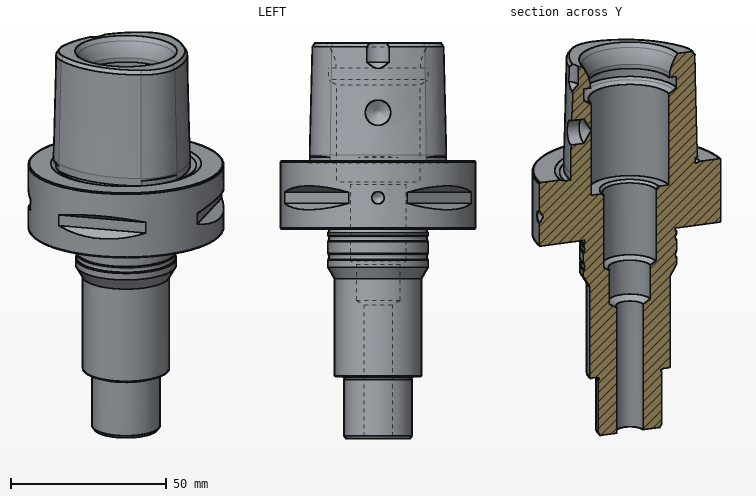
import cadquery as cq
import math

TOTAL_HEIGHT = 127.5
FLANGE_BOTTOM = 67.6
FLANGE_TOP = 89.5
TAPER_START = 91.5

TIP_RADIUS = 22.0 / 2
TIP_CHAMFER = 0.8
TIP_CHAMFER_HEIGHT = 1.0
SHANK_RADIUS = 28 / 2
SHANK_BOTTOM = 20.0
SHANK_CHAMFER = 0.4
TIP_RELIEF_INSET = 0.3
TIP_RELIEF_BOTTOM = 19.0
TIP_RELIEF_TOP = 19.6
TIP_SHOULDER_RADIUS = 11.5
COLLAR_RADIUS = 32.5 / 2
COLLAR_NECK_RADIUS = 32.0 / 2
COLLAR_CONE_BOTTOM = 51.5
COLLAR_CONE_TOP = 55.3
COLLAR_TOP = 66.4
FLANGE_NECK_RADIUS = 15.7
RING_GROOVE_RADIUS = 15.8
RING_GROOVE_STEP = 0.4
RING_GROOVES = [(57.5, 59.8), (63.5, 65.7)]

FLANGE_RADIUS = 63.0 / 2
FLANGE_CHAMFER = 0.4
GRIP_SLOT_Z = 77.6
GRIP_SLOT_FLOOR_DISTANCE = 27.9
GRIP_SLOT_FLOOR_WIDTH = 3.6
GRIP_SLOT_WALL_ANGLE = math.radians(30)
MARK_RADIUS = 4.0 / 2
MARK_WALL = 0.3

RELIEF_OUTER_RADIUS = 24.2
RELIEF_INNER_RADIUS = 22.7
RELIEF_DEPTH = 0.5
RELIEF_WALL_TOP = 90.7

LOBE_CENTRE_DISTANCE = 10.2
LOBE_HALF_ANGLE = 30
LOBE_RADIUS_OFFSET = LOBE_CENTRE_DISTANCE * math.cos(math.radians(LOBE_HALF_ANGLE))
TAPER_HALF_WIDTH = 22.0
TAPER_RATIO = 1 / 40
TAPER_CHAMFER = 0.9
TAPER_CHAMFER_HEIGHT = 1.3
CROSS_HOLE_RADIUS = 8.2 / 2
CROSS_HOLE_Z = 105.0
CROSS_HOLE_WALL = 4.7
NOTCH_RADIUS = 9.0 / 2
NOTCH_AXIS_X = -22.5
NOTCH_BOTTOM = 121.4

MOUTH_RADIUS = 16.5
MOUTH_CHAMFER = 0.9
MOUTH_CHAMFER_HEIGHT = 1.4
LIP_RADIUS = 13.6
LIP_TOP = 121.0
LIP_BOTTOM = 119.5
FLARE_BULGE = 0.3
BORE_GROOVE_RADIUS = 32.0 / 2
BORE_GROOVE_FILLET = 0.8
BORE_GROOVE_BOTTOM = 115.1
LOWER_BORE_RADIUS = 13.4
LOWER_BORE_TOP = 114.1
BORE_FLOOR = 82.9
THREAD_MOUTH_RADIUS = 9.8
THREAD_RADIUS = 17.8 / 2
THREAD_BOTTOM = 57.4
PILOT_RADIUS = 14 / 2
PILOT_BOTTOM = 44.6
COOLANT_RADIUS = 9.0 / 2
DRILL_POINT_SLOPE = math.tan(math.radians(31))


def revolved(points):
    """Solid of revolution about Z from (radius, height) points."""
    return cq.Workplane("XZ").polyline(points).close().revolve(360, (0, 0, 0), (0, 1, 0))


def lobed_wire(half_width, z):
    """Tangent-arc trilobe with one lobe on +X; half_width is half its constant width."""
    lobe_radius = half_width - LOBE_RADIUS_OFFSET
    flank_radius = half_width + LOBE_RADIUS_OFFSET

    def lobe_point(lobe_angle, normal_angle):
        lobe = math.radians(lobe_angle)
        normal = math.radians(normal_angle)
        return cq.Vector(
            LOBE_CENTRE_DISTANCE * math.cos(lobe) + lobe_radius * math.cos(normal),
            LOBE_CENTRE_DISTANCE * math.sin(lobe) + lobe_radius * math.sin(normal),
            z,
        )

    flank_distance = flank_radius - LOBE_CENTRE_DISTANCE
    edges = []
    for lobe_angle in (0, 120, 240):
        start = lobe_point(lobe_angle, lobe_angle - LOBE_HALF_ANGLE)
        crest = lobe_point(lobe_angle, lobe_angle)
        end = lobe_point(lobe_angle, lobe_angle + LOBE_HALF_ANGLE)
        flank_angle = math.radians(lobe_angle + 60)
        flank_middle = cq.Vector(
            flank_distance * math.cos(flank_angle), flank_distance * math.sin(flank_angle), z
        )
        next_start = lobe_point(lobe_angle + 120, lobe_angle + 120 - LOBE_HALF_ANGLE)
        edges.append(cq.Edge.makeThreePointArc(start, crest, end))
        edges.append(cq.Edge.makeThreePointArc(end, flank_middle, next_start))
    return cq.Wire.assembleEdges(edges)


def lobed_frustum(bottom_half_width, bottom, top_half_width, top):
    wires = [lobed_wire(bottom_half_width, bottom), lobed_wire(top_half_width, top)]
    return cq.Workplane(cq.Solid.makeLoft(wires, True))


def make_shank():
    shank = revolved([
        (0, 0),
        (TIP_RADIUS - TIP_CHAMFER, 0),
        (TIP_RADIUS, TIP_CHAMFER_HEIGHT),
        (TIP_RADIUS, TIP_RELIEF_BOTTOM),
        (TIP_RADIUS - TIP_RELIEF_INSET, TIP_RELIEF_TOP),
        (TIP_SHOULDER_RADIUS, SHANK_BOTTOM),
        (SHANK_RADIUS - SHANK_CHAMFER, SHANK_BOTTOM),
        (SHANK_RADIUS, SHANK_BOTTOM + SHANK_CHAMFER),
        (SHANK_RADIUS, COLLAR_CONE_BOTTOM),
        (COLLAR_RADIUS, COLLAR_CONE_TOP),
        (COLLAR_RADIUS, COLLAR_TOP),
        (COLLAR_NECK_RADIUS, COLLAR_TOP),
        (FLANGE_NECK_RADIUS, FLANGE_BOTTOM),
        (0, FLANGE_BOTTOM),
    ])
    for bottom, top in RING_GROOVES:
        groove = (
            cq.Workplane("XZ")
            .moveTo(COLLAR_NECK_RADIUS, bottom)
            .lineTo(COLLAR_NECK_RADIUS, bottom + RING_GROOVE_STEP)
            .threePointArc(
                (RING_GROOVE_RADIUS, (bottom + top) / 2),
                (COLLAR_NECK_RADIUS, top - RING_GROOVE_STEP),
            )
            .lineTo(COLLAR_NECK_RADIUS, top)
            .lineTo(FLANGE_RADIUS, top)
            .lineTo(FLANGE_RADIUS, bottom)
            .close()
            .revolve(360, (0, 0, 0), (0, 1, 0))
        )
        shank = shank.cut(groove)
    return shank


def make_grip_slot():
    """Flat-bottomed V slot across the flange rim, facing +X before it is turned."""
    outer_distance = FLANGE_RADIUS + 1.3
    half_floor = GRIP_SLOT_FLOOR_WIDTH / 2
    half_mouth = half_floor + (outer_distance - GRIP_SLOT_FLOOR_DISTANCE) * math.tan(GRIP_SLOT_WALL_ANGLE)
    return (
        cq.Workplane("XZ")
        .polyline([
            (GRIP_SLOT_FLOOR_DISTANCE, GRIP_SLOT_Z - half_floor),
            (outer_distance, GRIP_SLOT_Z - half_mouth),
            (outer_distance, GRIP_SLOT_Z + half_mouth),
            (GRIP_SLOT_FLOOR_DISTANCE, GRIP_SLOT_Z + half_floor),
        ])
        .close()
        .extrude(FLANGE_RADIUS, both=True)
    )


def make_flange():
    flange = (
        cq.Workplane("XY", origin=(0, 0, FLANGE_BOTTOM))
        .circle(FLANGE_RADIUS)
        .extrude(FLANGE_TOP - FLANGE_BOTTOM)
        .edges()
        .chamfer(FLANGE_CHAMFER)
    )
    recess_floor = FLANGE_TOP - RELIEF_DEPTH
    recess = revolved([
        (0, FLANGE_TOP),
        (RELIEF_OUTER_RADIUS, FLANGE_TOP),
        (RELIEF_INNER_RADIUS, recess_floor),
        (0, recess_floor),
    ])
    flange = flange.cut(recess)
    slot = make_grip_slot()
    for angle in (45, 135, 225, 315):
        flange = flange.cut(slot.rotate((0, 0, 0), (0, 0, 1), angle))
    return flange


def make_taper():
    chamfer_bottom = TOTAL_HEIGHT - TAPER_CHAMFER_HEIGHT
    top_half_width = TAPER_HALF_WIDTH - (chamfer_bottom - TAPER_START) * TAPER_RATIO
    foot_bottom = FLANGE_TOP - RELIEF_DEPTH
    foot = lobed_frustum(TAPER_HALF_WIDTH, foot_bottom, TAPER_HALF_WIDTH, TAPER_START)
    foot = foot.intersect(revolved([
        (0, foot_bottom),
        (RELIEF_INNER_RADIUS, foot_bottom),
        (RELIEF_INNER_RADIUS, RELIEF_WALL_TOP),
        (RELIEF_OUTER_RADIUS, TAPER_START),
        (0, TAPER_START),
    ]))
    body = lobed_frustum(TAPER_HALF_WIDTH, TAPER_START, top_half_width, chamfer_bottom)
    crown = lobed_frustum(
        top_half_width, chamfer_bottom, top_half_width - TAPER_CHAMFER, TOTAL_HEIGHT
    )
    return foot.union(body).union(crown)


def make_bore():
    thread_cone = (THREAD_RADIUS - PILOT_RADIUS) * DRILL_POINT_SLOPE
    pilot_cone = (PILOT_RADIUS - COOLANT_RADIUS) * DRILL_POINT_SLOPE
    thread_chamfer = THREAD_MOUTH_RADIUS - THREAD_RADIUS
    floor_outer_radius = BORE_GROOVE_RADIUS - BORE_GROOVE_FILLET
    fillet_top = BORE_GROOVE_BOTTOM + BORE_GROOVE_FILLET
    return (
        cq.Workplane("XZ")
        .polyline([
            (0, 0),
            (COOLANT_RADIUS, 0),
            (COOLANT_RADIUS, PILOT_BOTTOM - pilot_cone),
            (PILOT_RADIUS, PILOT_BOTTOM),
            (PILOT_RADIUS, THREAD_BOTTOM - thread_cone),
            (THREAD_RADIUS, THREAD_BOTTOM),
            (THREAD_RADIUS, BORE_FLOOR - thread_chamfer),
            (THREAD_MOUTH_RADIUS, BORE_FLOOR),
            (LOWER_BORE_RADIUS, BORE_FLOOR),
            (LOWER_BORE_RADIUS, LOWER_BORE_TOP),
            (floor_outer_radius, BORE_GROOVE_BOTTOM),
        ])
        .tangentArcPoint((BORE_GROOVE_RADIUS, fillet_top), relative=False)
        .lineTo(BORE_GROOVE_RADIUS, LIP_BOTTOM)
        .lineTo(LIP_RADIUS, LIP_BOTTOM)
        .lineTo(LIP_RADIUS, LIP_TOP)
        .sagittaArc((MOUTH_RADIUS - MOUTH_CHAMFER, TOTAL_HEIGHT - MOUTH_CHAMFER_HEIGHT), FLARE_BULGE)
        .lineTo(MOUTH_RADIUS, TOTAL_HEIGHT)
        .lineTo(0, TOTAL_HEIGHT)
        .close()
        .revolve(360, (0, 0, 0), (0, 1, 0))
    )


def make_notch():
    """Vertical round notch in the -X flank, with a 45 degree conical bottom."""
    profile = [
        (0, NOTCH_BOTTOM - NOTCH_RADIUS),
        (NOTCH_RADIUS, NOTCH_BOTTOM),
        (NOTCH_RADIUS, TOTAL_HEIGHT),
        (0, TOTAL_HEIGHT),
    ]
    return revolved(profile).translate((NOTCH_AXIS_X, 0, 0))


def make_drilled_hole(surface_x, z, radius, wall_length):
    """Hole entering along +X from surface_x with a drill-point end."""
    entry = surface_x - radius
    return (
        cq.Workplane("XY")
        .polyline([
            (entry, 0),
            (entry, radius),
            (surface_x + wall_length, radius),
            (surface_x + wall_length + radius * DRILL_POINT_SLOPE, 0),
        ])
        .close()
        .revolve(360, (0, 0, 0), (1, 0, 0))
        .translate((0, 0, z))
    )


flank_x = -(TAPER_HALF_WIDTH + LOBE_RADIUS_OFFSET - LOBE_CENTRE_DISTANCE)
result = make_shank().union(make_flange()).union(make_taper())
result = result.cut(make_bore()).cut(make_notch())
result = result.cut(make_drilled_hole(flank_x, CROSS_HOLE_Z, CROSS_HOLE_RADIUS, CROSS_HOLE_WALL))
result = result.cut(make_drilled_hole(-FLANGE_RADIUS, GRIP_SLOT_Z, MARK_RADIUS, MARK_WALL))